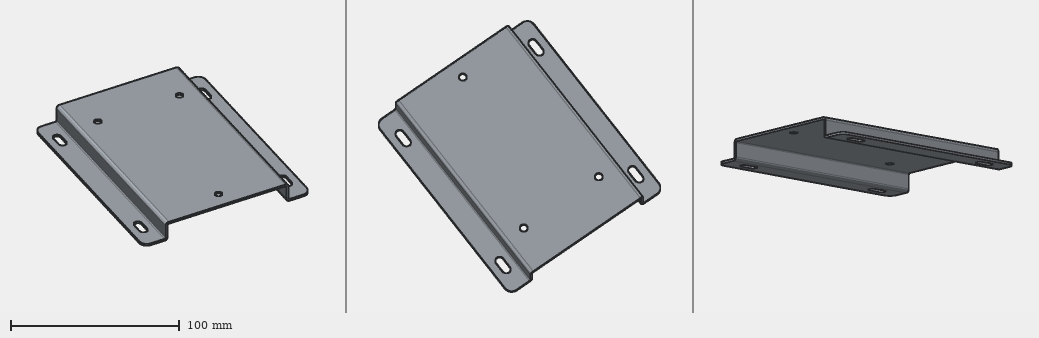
import cadquery as cq

length = 135.0
width = 113.0
height = 13.0
thickness = 1.5

deck_width = 83.0
inner_bend_radius = 0.7
outer_bend_radius = inner_bend_radius + thickness
corner_radius = 5.0

slot_length = 11.9
slot_width = 5.1
slot_spacing_x = 100.0
slot_spacing_y = 97.6

hole_diameter = 4.6
hole_pair_x = -41.8
hole_pair_spacing = 55.1
single_hole_x = 56.8


def bent_sheet():
    """Raised deck on two webs, with a flange turned outwards at each foot."""
    web_outside = deck_width / 2
    web_inside = web_outside - thickness
    half_section = (
        cq.Workplane("YZ")
        .moveTo(0, height)
        .lineTo(web_outside - outer_bend_radius, height)
        .radiusArc((web_outside, height - outer_bend_radius), outer_bend_radius)
        .lineTo(web_outside, thickness + inner_bend_radius)
        .radiusArc((web_outside + inner_bend_radius, thickness), -inner_bend_radius)
        .lineTo(width / 2, thickness)
        .lineTo(width / 2, 0)
        .lineTo(web_inside + outer_bend_radius, 0)
        .radiusArc((web_inside, outer_bend_radius), outer_bend_radius)
        .lineTo(web_inside, height - outer_bend_radius)
        .radiusArc((web_inside - inner_bend_radius, height - thickness), -inner_bend_radius)
        .lineTo(0, height - thickness)
        .close()
        .extrude(length / 2, both=True)
    )
    return half_section.union(half_section.mirror("XZ"))


def corner_outline():
    """Block with rounded vertical edges that trims the four flange corners."""
    block = cq.Workplane("XY").box(length, width, height, centered=(True, True, False))
    return block.edges("|Z").fillet(corner_radius)


def flange_slots():
    """Cutters for the four round-ended slots, their long axis along X."""
    return (
        cq.Workplane("XY")
        .rect(slot_spacing_x, slot_spacing_y, forConstruction=True)
        .vertices()
        .slot2D(slot_length, slot_width)
        .extrude(height)
    )


def deck_holes():
    """Cutters for the pair of holes and the single hole opposite them."""
    centers = [
        (hole_pair_x, -hole_pair_spacing / 2),
        (hole_pair_x, hole_pair_spacing / 2),
        (single_hole_x, 0),
    ]
    return cq.Workplane("XY").pushPoints(centers).circle(hole_diameter / 2).extrude(height)


result = bent_sheet().intersect(corner_outline()).cut(flange_slots()).cut(deck_holes())